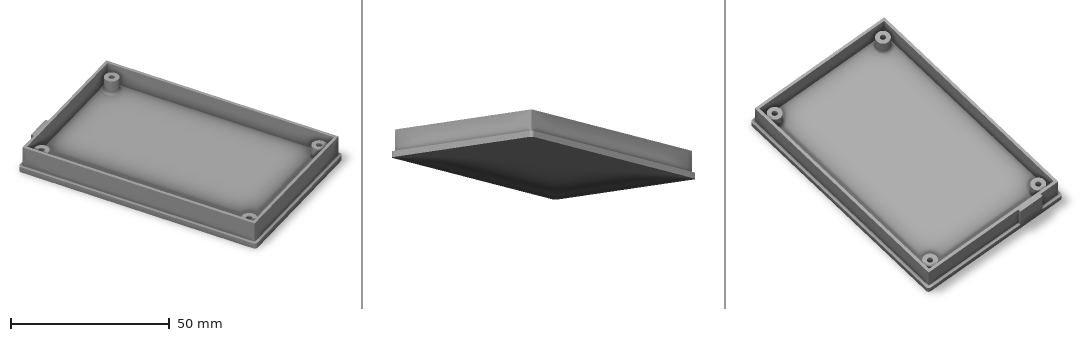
import cadquery as cq

length = 86.0
width = 56.0
height = 9.0

flange_height = 2.0
flange_corner_radius = 1.0
ledge = 1.0
wall = 1.0
floor_thickness = 2.0

pad_width = 9.2
pad_center_y = -15.0

boss_diameter = 5.0
hole_diameter = 2.0
boss_fillet = 1.0
boss_top = 7.0
boss_x = 37.5
boss_y = 22.5

wall_length = length - 2 * ledge
wall_width = width - 2 * ledge
cavity_length = wall_length - 2 * wall
cavity_width = wall_width - 2 * wall


def block(size_x, size_y, bottom, top):
    """Box centered in X and Y between two heights."""
    return cq.Workplane("XY").workplane(offset=bottom).rect(size_x, size_y).extrude(top - bottom)


def make_tray():
    """Open tray with a rounded flange around its base and a pad on one end."""
    flange = block(length, width, 0, flange_height).edges("|Z").fillet(flange_corner_radius)
    walls = block(wall_length, wall_width, 0, height)
    pad_depth = ledge + wall
    pad = block(pad_depth, pad_width, 0, height).translate(((pad_depth - length) / 2, pad_center_y, 0))
    cavity = block(cavity_length, cavity_width, floor_thickness, height)
    return flange.union(walls).union(pad).cut(cavity)


def make_boss():
    """Solid boss rooted in the floor, with a concave fillet at its foot."""
    radius = boss_diameter / 2
    foot_radius = radius + boss_fillet
    root = floor_thickness / 2
    arc_offset = boss_fillet * (1 - 0.5 ** 0.5)
    profile = (
        cq.Workplane("XZ")
        .moveTo(0, root)
        .lineTo(foot_radius, root)
        .lineTo(foot_radius, floor_thickness)
        .threePointArc(
            (radius + arc_offset, floor_thickness + arc_offset),
            (radius, floor_thickness + boss_fillet),
        )
        .lineTo(radius, boss_top)
        .lineTo(0, boss_top)
        .close()
    )
    return profile.revolve(360, (0, 0, 0), (0, 1, 0))


boss = make_boss()
hole = cq.Workplane("XY").workplane(offset=floor_thickness).circle(hole_diameter / 2).extrude(
    boss_top - floor_thickness
)

result = make_tray()
for x in (-boss_x, boss_x):
    for y in (-boss_y, boss_y):
        result = result.union(boss.translate((x, y, 0)))
        result = result.cut(hole.translate((x, y, 0)))